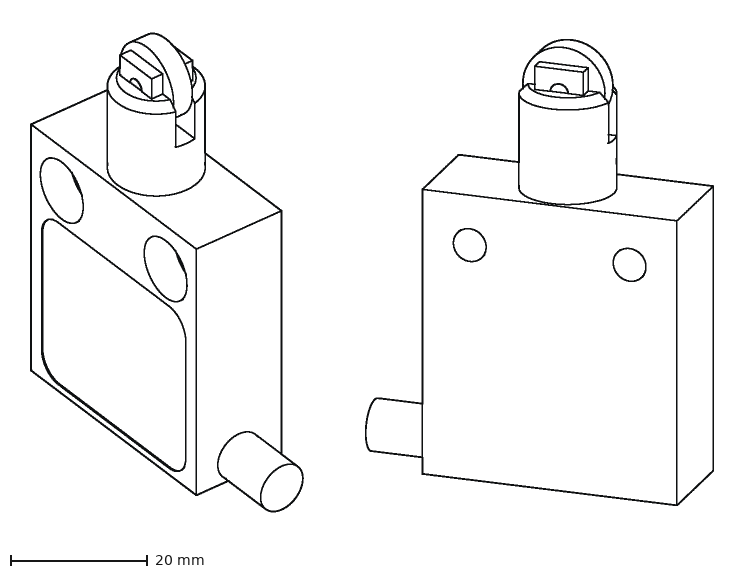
import cadquery as cq

body_width = 39.55
body_depth = 15.7
body_height = 44.3
body_bottom = 0.2
body_top = body_bottom + body_height
front_y = -body_depth / 2
center_x = body_width / 2

panel_side_margin = 2.55
panel_bottom_margin = 1.2
panel_height = 29.1
panel_corner_radius = 4.0
panel_recess = 0.2
panel_width = body_width - 2 * panel_side_margin

hole_diameter = 5.1
counterbore_diameter = 10.25
counterbore_depth = 5.55
hole_side_offset = 7.35
hole_top_offset = 7.75

cable_diameter = 7.8
overall_width = 49.8
cable_length = overall_width - body_width

plunger_diameter = 14.3
plunger_height = 16.1
plunger_top = body_top + plunger_height
chamfer_height = 1.4
chamfer_width = 1.35
slot_width = 3.5
slot_floor = body_top + 8.35
roller_diameter = 12.8
overall_height = 66.9
roller_z = overall_height - roller_diameter / 2

block_size = 7.55
block_height = 3.6
axle_diameter = 2.8
axle_end_recess = 0.1


def y_cylinder(diameter, x, z, start_y, length):
    """Cylinder running toward +Y from start_y."""
    return cq.Workplane(
        cq.Solid.makeCylinder(diameter / 2, length, cq.Vector(x, start_y, z), cq.Vector(0, 1, 0))
    )


def make_housing():
    housing = cq.Workplane("XY").box(body_width, body_depth, body_height, centered=(False, True, False))
    housing = housing.translate((0, 0, body_bottom))

    panel = (
        cq.Workplane("XY")
        .box(panel_width, panel_recess, panel_height, centered=(True, False, False))
        .edges("|Y")
        .fillet(panel_corner_radius)
        .translate((center_x, front_y, body_bottom + panel_bottom_margin))
    )
    housing = housing.cut(panel)

    hole_z = body_top - hole_top_offset
    for hole_x in (hole_side_offset, body_width - hole_side_offset):
        housing = housing.cut(y_cylinder(hole_diameter, hole_x, hole_z, front_y, body_depth))
        housing = housing.cut(y_cylinder(counterbore_diameter, hole_x, hole_z, front_y, counterbore_depth))
    return housing


def make_cable():
    radius = cable_diameter / 2
    return cq.Workplane("YZ", origin=(body_width, 0, radius)).circle(radius).extrude(cable_length)


def make_plunger():
    plunger = (
        cq.Workplane("XY", origin=(center_x, 0, body_top))
        .circle(plunger_diameter / 2)
        .extrude(plunger_height)
        .faces(">Z")
        .chamfer(chamfer_height, chamfer_width)
    )
    block = (
        cq.Workplane("XY", origin=(center_x, 0, plunger_top))
        .rect(block_size, block_size)
        .extrude(block_height)
    )
    for recess_y in (-block_size / 2, block_size / 2 - axle_end_recess):
        block = block.cut(y_cylinder(axle_diameter, center_x, roller_z, recess_y, axle_end_recess))
    slot = (
        cq.Workplane("XY", origin=(center_x, 0, slot_floor))
        .rect(plunger_diameter, slot_width)
        .extrude(overall_height - slot_floor)
    )
    roller = y_cylinder(roller_diameter, center_x, roller_z, -slot_width / 2, slot_width)
    return plunger.union(block).cut(slot).union(roller)


result = make_housing().union(make_cable()).union(make_plunger())